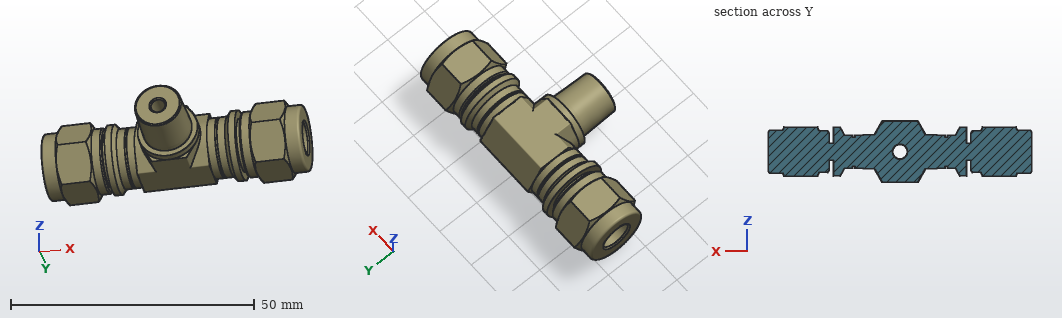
import cadquery as cq
import math


length = 54.3
depth = 27.0
half_length = length / 2

nut_flats = 14.2
nut_corner_radius = nut_flats / math.sqrt(3)
nut_hex_start = 3.05
nut_hex_end = 10.55
nut_chamfer_angle = math.radians(30)
front_collar_diameter = 13.9
front_collar_rounding = 0.55
rear_collar_diameter = 13.6
rear_collar_end = 12.65
rear_collar_chamfer = 0.3
neck_diameter = 11.15
flange_diameter = 14.6
flange_start = 13.45
flange_end = 14.85
flange_cone_end = 15.75
barrel_diameter = 12.6
groove_diameter = 12.15
groove_start = 17.4
groove_end = 17.85

block_half_length = 7.6
block_flats = 12.65
block_radius = block_flats / 2
block_half_flat = block_radius / math.sqrt(3)
block_edge_rounding = 0.25
branch_hex_end = 7.6

branch_tip = depth - nut_corner_radius
branch_collar_diameter = barrel_diameter
branch_collar_end = 9.2
thread_diameter = 10.25
thread_cylinder_end = 10.5
thread_taper = 1 / 16
tip_face_diameter = 9.2
tip_chamfer = 0.2

run_bore_diameter = 4.85
socket_diameter = 6.55
socket_depth = 15.2
socket_mouth_diameter = 7.3
branch_bore_diameter = 3.0
branch_mouth_diameter = 3.6


def revolve_about_run(stations):
    """Revolve (distance from the left nut face, radius) stations about the X axis."""
    points = [(distance - half_length, radius) for distance, radius in stations]
    points = [(points[0][0], 0)] + points + [(points[-1][0], 0)]
    return cq.Workplane("XY").polyline(points).close().revolve(360, (0, 0, 0), (1, 0, 0))


def revolve_about_branch(stations):
    """Revolve (distance from the run axis, radius) stations about the -Y axis."""
    points = [(radius, -distance) for distance, radius in stations]
    points = [(0, points[0][1])] + points + [(0, points[-1][1])]
    return cq.Workplane("XY").polyline(points).close().revolve(360, (0, 0, 0), (0, 1, 0))


def turned_end():
    """Collars, neck, flange and grooved barrel on the -X side, up to the tee block."""
    front_collar = front_collar_diameter / 2
    rear_collar = rear_collar_diameter / 2
    neck = neck_diameter / 2
    flange = flange_diameter / 2
    barrel = barrel_diameter / 2
    groove = groove_diameter / 2
    nut_middle = (nut_hex_start + nut_hex_end) / 2
    block_start = half_length - block_half_length
    end = revolve_about_run([
        (0, front_collar),
        (nut_middle, front_collar),
        (nut_middle, rear_collar),
        (rear_collar_end - rear_collar_chamfer, rear_collar),
        (rear_collar_end, rear_collar - rear_collar_chamfer),
        (rear_collar_end, neck),
        (flange_start, neck),
        (flange_start, flange),
        (flange_end, flange),
        (flange_cone_end, barrel),
        (groove_start, barrel),
        (groove_start, groove),
        (groove_end, groove),
        (groove_end, barrel),
        (block_start, barrel),
    ])
    return end.faces("<X").edges().fillet(front_collar_rounding)


def nut_hexagon():
    """Hexagon with corners on +Y and -Y; a cone at each end runs down to the collar."""
    front_radius = front_collar_diameter / 2
    rear_radius = rear_collar_diameter / 2
    slope = math.tan(nut_chamfer_angle)
    hexagon = (
        cq.Workplane("YZ", origin=(nut_hex_start - half_length, 0, 0))
        .polygon(6, 2 * nut_corner_radius)
        .extrude(nut_hex_end - nut_hex_start)
    )
    cones = revolve_about_run([
        (nut_hex_start, front_radius),
        (nut_hex_start + (nut_corner_radius - front_radius) * slope, nut_corner_radius),
        (nut_hex_end - (nut_corner_radius - rear_radius) * slope, nut_corner_radius),
        (nut_hex_end, rear_radius),
    ])
    return hexagon.intersect(cones)


def hexagonal_bar(plane, start, bar_length, directions):
    """Hexagonal bar with flats on +Z and -Z and rounded long edges beside those flats.

    Corners on the sides listed in directions (+1, -1) are turned to the inscribed circle.
    """
    tangent_side = block_radius * math.cos(math.radians(30))
    tangent_height = block_radius / 2
    outline = cq.Workplane(plane).workplane(offset=start).moveTo(-block_half_flat, block_radius)
    for side in (1, -1):
        outline = outline.lineTo(side * block_half_flat, side * block_radius)
        if side in directions:
            outline = outline.lineTo(side * tangent_side, side * tangent_height)
            outline = outline.threePointArc(
                (side * block_radius, 0), (side * tangent_side, -side * tangent_height)
            )
        else:
            outline = outline.lineTo(side * 2 * block_half_flat, 0)
        outline = outline.lineTo(side * block_half_flat, -side * block_radius)
    bar = outline.close().extrude(bar_length)
    flat_edges = bar.faces(">Z or <Z").edges("|X" if plane == "YZ" else "|Y")
    return flat_edges.fillet(block_edge_rounding)


def tee_block():
    """Run bar with a sharp back corner, joined to the branch bar."""
    run = hexagonal_bar("YZ", -block_half_length, 2 * block_half_length, (-1,))
    branch = hexagonal_bar("XZ", 0, branch_hex_end, (1, -1))
    return run.union(branch)


def branch_stub():
    """Round collar followed by the tapered thread blank."""
    collar_radius = branch_collar_diameter / 2
    root_radius = thread_diameter / 2
    cone_end = branch_tip - tip_chamfer
    cone_end_radius = root_radius - (cone_end - thread_cylinder_end) * thread_taper / 2
    return revolve_about_branch([
        (branch_hex_end, collar_radius),
        (branch_collar_end, collar_radius),
        (branch_collar_end, root_radius),
        (thread_cylinder_end, root_radius),
        (cone_end, cone_end_radius),
        (branch_tip, tip_face_diameter / 2),
    ])


def run_bore():
    """Through bore along X with a tube socket and a countersunk mouth at each end."""
    bore = run_bore_diameter / 2
    tube = socket_diameter / 2
    mouth = socket_mouth_diameter / 2
    half = revolve_about_run([
        (0, mouth),
        (mouth - tube, tube),
        (socket_depth, tube),
        (socket_depth, bore),
        (half_length, bore),
    ])
    return half.union(half.mirror("YZ"))


def branch_bore():
    """Bore from the branch tip to the run axis, with a countersunk mouth."""
    bore = branch_bore_diameter / 2
    mouth = branch_mouth_diameter / 2
    return revolve_about_branch([
        (0, bore),
        (branch_tip - (mouth - bore), bore),
        (branch_tip, mouth),
    ])


left_end = turned_end().union(nut_hexagon())
body = tee_block().union(branch_stub())
body = body.union(left_end).union(left_end.mirror("YZ"))
result = body.cut(run_bore()).cut(branch_bore())